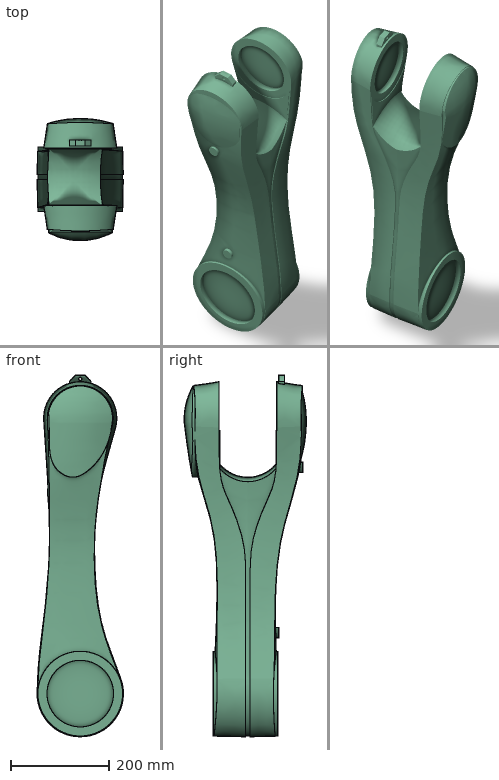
import math

import cadquery as cq

FOOT_RADIUS = 87.92
HEAD_Z = 560.0
HEAD_RADIUS = 74.5
HEAD_DRAFT = 0.15
BODY_DRAFT = 0.021
OVERALL_TOP = 647.57
CROWN_RADIUS = 450.0

FORK_HALF_GAP = 58.3
FORK_WEB_STEP = 1.3
HEAD_FACE_Y = 110.0
SADDLE_Z = 440.0
SADDLE_EDGE_Z = 468.0
SADDLE_RADIUS = 98.0

GROOVE_HALF_WIDTH = 4.8
GROOVE_DEPTH = 1.6

FLANGE_RADIUS = 86.2
FLANGE_FRONT_Y = -70.8
FLANGE_BACK_Y = 61.3
FOOT_BORE_RADIUS = 67.7
HEAD_BORE_RADIUS = 56.5
BORE_DEPTH = 11.0

COVER_RADIUS = 65.5
COVER_TIP = (-15.0, 440.0)
COVER_ROOT_Y = 80.0
FRONT_COVER_Y = -130.0
BACK_COVER_Y = 119.0
FRONT_DOME_RADIUS = 137.0
BACK_DOME_RADIUS = 215.0

LUG_BACK_Y = 75.0
LUG_THICKNESS = 12.5
LUG_TOP_HALF_WIDTH = 10.0
LUG_HALF_WIDTH = 22.0
LUG_SHOULDER_Z = 635.0
LUG_ROOT_DEPTH = 15.0
LUG_HOLE_Z = 640.0
LUG_HOLE_DIAMETER = 6.0

PLUG_DIAMETER = 21.0
PLUG_LENGTH = 25.0
PLUGS = [(460.0, 112.0), (124.0, 63.0)]

OVERRUN = 5.0
REACH = 300.0
BOTTOM_Z = -FOOT_RADIUS - 2 * OVERRUN
TOP_Z = OVERALL_TOP + 2 * OVERRUN


def on_circle(radius, degrees, centre_z=0.0):
    """Point (x, z) on a circle centred on the arm's axis."""
    angle = math.radians(degrees)
    return radius * math.cos(angle), centre_z + radius * math.sin(angle)


def tangent(degrees):
    """Counter-clockwise direction of a circle at the given angle."""
    return on_circle(1.0, degrees + 90.0)


def xz_plane(y):
    """Plane at the given y whose local axes are X and Z, with the normal along -Y."""
    return cq.Workplane("XZ", origin=(0, y, 0))


def arm_outline(y, depth=0.0):
    """Closed front outline of the drafted arm at the given y, sunk by depth below its sides."""
    inset = depth + BODY_DRAFT * max(abs(y) - GROOVE_HALF_WIDTH, 0)
    foot_radius = FOOT_RADIUS - inset
    head_radius = HEAD_RADIUS - depth - HEAD_DRAFT * (abs(y) - FORK_HALF_GAP)
    foot_right, foot_left = 20.0, 179.0
    head_right, head_left = -15.0, 183.0
    right_side = [
        (47.6 - inset, 128.0),
        (29.5 - inset, 275.0),
        (45.4 - inset, 439.0),
        on_circle(head_radius, head_right, HEAD_Z),
    ]
    left_side = [
        (inset - 63.5, 350.0),
        (inset - 72.0, 173.0),
        on_circle(foot_radius, foot_left),
    ]
    return (
        xz_plane(y)
        .moveTo(*on_circle(foot_radius, foot_right))
        .spline(right_side, [tangent(foot_right), tangent(head_right)], includeCurrent=True)
        .threePointArc((0, HEAD_Z + head_radius), on_circle(head_radius, head_left, HEAD_Z))
        .spline(left_side, [tangent(head_left), tangent(foot_left)], includeCurrent=True)
        .threePointArc((0, -foot_radius), on_circle(foot_radius, foot_right))
        .close()
    )


def ruled_between(first, second):
    """Straight-sided solid between two outlines."""
    return cq.Workplane(cq.Solid.makeLoft([first.wires().val(), second.wires().val()], True))


def drafted_half(side):
    """One half of the arm, from the groove's edge to beyond the head's outer face."""
    outer_y = HEAD_FACE_Y + OVERRUN
    return ruled_between(arm_outline(side * GROOVE_HALF_WIDTH), arm_outline(side * outer_y))


def turned_face(points, axis_y):
    """Solid of revolution about a vertical axis; points (y, z) run up its wall.

    It is turned half round so that its seam lies on the far side of the axis.
    """
    wall = cq.Workplane("YZ").moveTo(axis_y, points[0][1]).lineTo(*points[0])
    wall = wall.spline(points[1:], includeCurrent=True)
    wall = wall.lineTo(axis_y, points[-1][1]).close()
    turned = wall.revolve(360, (axis_y, 0), (axis_y, 1))
    return turned.rotate((0, axis_y, 0), (0, axis_y, 1), 180)


def side_envelope():
    """Space between the bowed outer faces, which flare out from shank to fork."""
    front = [
        (-68.0, BOTTOM_Z), (-67.0, 80.0), (-63.0, 230.0), (-66.5, 297.0), (-78.5, 363.0),
        (-97.0, 424.0), (-108.5, 485.0), (-HEAD_FACE_Y - 1, HEAD_Z), (-HEAD_FACE_Y, TOP_Z),
    ]
    back = [
        (54.0, BOTTOM_Z), (58.0, 80.0), (58.5, 240.0), (72.0, 332.0), (92.0, 403.0),
        (106.0, 462.0), (HEAD_FACE_Y + 2, HEAD_Z), (HEAD_FACE_Y, TOP_Z),
    ]
    return turned_face(front, CROWN_RADIUS).intersect(turned_face(back, -CROWN_RADIUS))


def groove_space():
    """Band along the parting plane that widens upward into the fork."""
    flare_edge = [(11.0, 315.0), (36.0, 386.0), (FORK_HALF_GAP, 485.0)]
    flare_start = (GROOVE_HALF_WIDTH, 255.0)
    straight_up = (0, 1)
    right = cq.Workplane("YZ").moveTo(0, BOTTOM_Z).lineTo(GROOVE_HALF_WIDTH, BOTTOM_Z)
    right = right.lineTo(*flare_start)
    right = right.spline(flare_edge, [straight_up, straight_up], includeCurrent=True)
    right = right.lineTo(FORK_HALF_GAP, TOP_Z).lineTo(0, TOP_Z).close()
    half = right.extrude(REACH, both=True)
    return half.union(half.mirror("XZ"))


def grooved_arm():
    """Both halves with the parting groove sunk to a slightly ridged core."""
    band = arm_outline(GROOVE_HALF_WIDTH).extrude(2 * GROOVE_HALF_WIDTH)
    arm = band.union(drafted_half(-1)).union(drafted_half(1))
    ridge = arm_outline(0, GROOVE_DEPTH)
    groove = groove_space()
    for side in (-1, 1):
        flank = arm_outline(side * FORK_HALF_GAP, 2 * GROOVE_DEPTH)
        groove = groove.cut(ruled_between(ridge, flank))
    return arm.cut(groove)


def fork_space():
    """Gap between the fork arms, ending on a saddle bowed both ways."""
    half_gap = FORK_HALF_GAP - FORK_WEB_STEP
    axis_z = SADDLE_Z - SADDLE_RADIUS
    gap = cq.Workplane("XY", origin=(0, 0, axis_z)).rect(2 * REACH, 2 * half_gap)
    gap = gap.extrude(TOP_Z - axis_z)
    saddle = (
        cq.Workplane("YZ")
        .moveTo(-FORK_HALF_GAP, axis_z)
        .lineTo(-FORK_HALF_GAP, SADDLE_EDGE_Z)
        .threePointArc((0, SADDLE_Z), (FORK_HALF_GAP, SADDLE_EDGE_Z))
        .lineTo(FORK_HALF_GAP, axis_z)
        .close()
        .revolve(360, (0, axis_z), (1, axis_z))
    )
    return gap.cut(saddle)


def disc(radius, y_start, y_end, z=0.0):
    """Cylinder along Y between two y positions."""
    return xz_plane(y_start).center(0, z).circle(radius).extrude(y_start - y_end)


def head_joint_cuts():
    """Set-back joint faces and shallow bores on the inside of the fork."""
    bore_end = FORK_HALF_GAP + BORE_DEPTH
    faces = disc(HEAD_RADIUS, -FORK_HALF_GAP, FORK_HALF_GAP, HEAD_Z)
    return faces.union(disc(HEAD_BORE_RADIUS, -bore_end, bore_end, HEAD_Z))


def cover(root_y, end_y, dome):
    """Egg-shaped cover on the head, with a domed outer surface."""
    left_angle, right_angle = 170.0, -10.0
    left_side = [(-63.0, 510.0), (-47.6, 456.0), COVER_TIP]
    right_side = [(19.0, 456.0), (56.0, 510.0), on_circle(COVER_RADIUS, right_angle, HEAD_Z)]
    egg = (
        xz_plane(root_y)
        .moveTo(*on_circle(COVER_RADIUS, right_angle, HEAD_Z))
        .threePointArc((0, HEAD_Z + COVER_RADIUS), on_circle(COVER_RADIUS, left_angle, HEAD_Z))
        .spline(left_side + right_side, includeCurrent=True)
        .close()
        .extrude(root_y - end_y)
    )
    return egg.intersect(dome)


def front_cover():
    wall = [
        (-108.0, 420.0), (-116.0, 456.0), (-126.0, 520.0),
        (FRONT_COVER_Y, HEAD_Z), (-123.0, 600.0), (-108.0, 632.0),
    ]
    dome = turned_face(wall, FRONT_COVER_Y + FRONT_DOME_RADIUS)
    return cover(-COVER_ROOT_Y, FRONT_COVER_Y - OVERRUN, dome)


def back_cover():
    wall = [(88.0, 420.0), (108.0, 476.0), (BACK_COVER_Y, HEAD_Z), (110.0, 616.0), (104.0, 632.0)]
    dome = turned_face(wall, BACK_COVER_Y - BACK_DOME_RADIUS)
    return cover(COVER_ROOT_Y, BACK_COVER_Y + OVERRUN, dome)


def lifting_lug():
    root_z = HEAD_Z + HEAD_RADIUS - LUG_ROOT_DEPTH
    lug = (
        xz_plane(LUG_BACK_Y)
        .moveTo(-LUG_HALF_WIDTH, root_z)
        .lineTo(-LUG_HALF_WIDTH, LUG_SHOULDER_Z)
        .lineTo(-LUG_TOP_HALF_WIDTH, OVERALL_TOP)
        .lineTo(LUG_TOP_HALF_WIDTH, OVERALL_TOP)
        .lineTo(LUG_HALF_WIDTH, LUG_SHOULDER_Z)
        .lineTo(LUG_HALF_WIDTH, root_z)
        .close()
        .extrude(LUG_THICKNESS)
    )
    hole = disc(LUG_HOLE_DIAMETER / 2, LUG_BACK_Y, LUG_BACK_Y - LUG_THICKNESS, LUG_HOLE_Z)
    return lug.cut(hole)


def foot_bores():
    front = disc(FOOT_BORE_RADIUS, FLANGE_FRONT_Y, FLANGE_FRONT_Y + BORE_DEPTH)
    back = disc(FOOT_BORE_RADIUS, FLANGE_BACK_Y - BORE_DEPTH, FLANGE_BACK_Y)
    return front.union(back)


def build_arm():
    arm = grooved_arm().intersect(side_envelope())
    arm = arm.cut(fork_space()).cut(head_joint_cuts())
    arm = arm.union(disc(FLANGE_RADIUS, FLANGE_FRONT_Y, FLANGE_BACK_Y)).cut(foot_bores())
    arm = arm.union(front_cover()).union(back_cover()).union(lifting_lug())
    for plug_z, plug_end in PLUGS:
        arm = arm.union(disc(PLUG_DIAMETER / 2, plug_end - PLUG_LENGTH, plug_end, plug_z))
    return arm


result = build_arm()